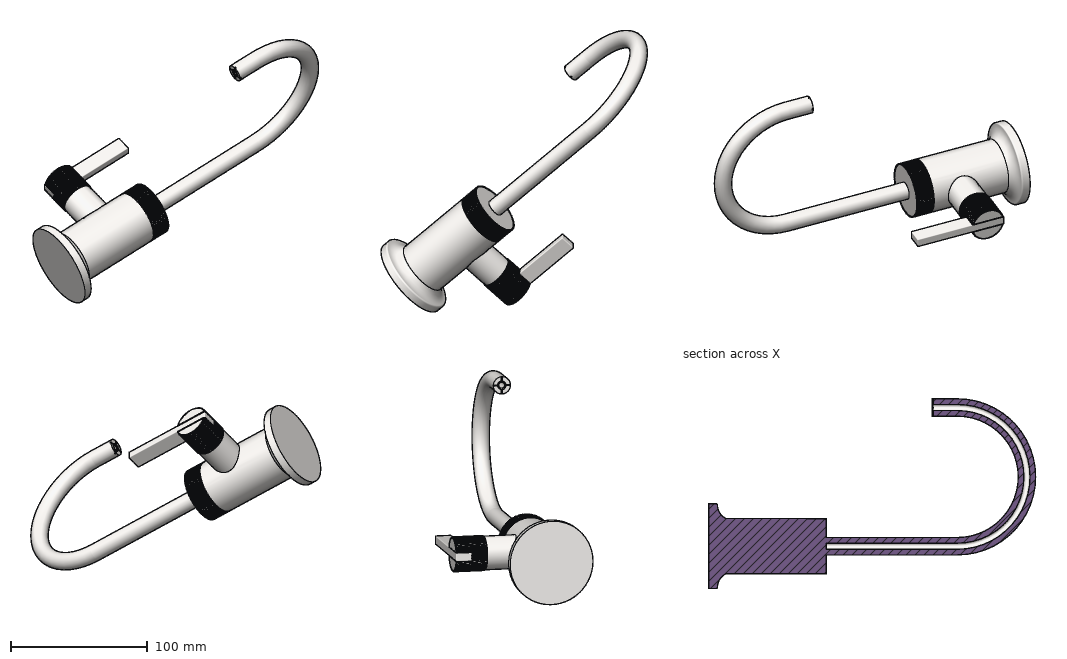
import cadquery as cq
import math

flange_radius = 31.0
flange_thickness = 6.5
flange_edge_radius = 1.2
body_radius = 20.3
body_top = 86.0
flare_start = 12.5
flare_arc_radius = 11.2

collar_length = 13.8
collar_teeth = 120
knurl_depth = 0.7

valve_y = 48.5
stub_radius = 12.5
knob_radius = 13.0
knob_length = 23.6
knob_teeth = 76
knob_chamfer = 0.7
knob_outer_x = -63.3
lever_width = 12.0
lever_thickness = 6.5
lever_bottom = valve_y - knob_radius
lever_top = 104.8
lever_edge_radius = 0.7

tube_radius = 6.5
overall_length = 238.8
bend_radius = 50.5
tip_y = 162.8
bend_y = overall_length - tube_radius - bend_radius
tip_z = 2 * bend_radius

bore_radius = 2.1
counterbore_radius = 3.0
slot_width = 0.7
outlet_recess = 1.0


def knurled_outline(workplane, radius, teeth):
    """Closed ring of V-shaped teeth with their tips on the given radius."""
    points = []
    for index in range(2 * teeth):
        angle = math.pi * index / teeth
        reach = radius - knurl_depth * (index % 2)
        points.append((reach * math.cos(angle), reach * math.sin(angle)))
    return workplane.polyline(points).close()


def base_and_body():
    collar_bottom = body_top - collar_length
    flange_shoulder = flange_radius - flange_edge_radius
    profile = (
        cq.Workplane("XY")
        .lineTo(flange_radius, 0)
        .lineTo(flange_radius, flange_thickness - flange_edge_radius)
        .radiusArc((flange_shoulder, flange_thickness), -flange_edge_radius)
        .radiusArc((body_radius, flare_start), flare_arc_radius)
        .lineTo(body_radius, collar_bottom)
        .lineTo(0, collar_bottom)
        .close()
    )
    body = profile.revolve(360, (0, 0, 0), (0, 1, 0))
    collar_plane = cq.Workplane("XZ", origin=(0, collar_bottom, 0))
    collar = knurled_outline(collar_plane, body_radius, collar_teeth).extrude(-collar_length)
    return body.union(collar)


def side_valve():
    knob_plane = cq.Workplane("YZ", origin=(knob_outer_x, valve_y, 0))
    blank = knob_plane.circle(knob_radius).extrude(knob_length).edges().chamfer(knob_chamfer)
    knob = knurled_outline(knob_plane, knob_radius, knob_teeth).extrude(knob_length).intersect(blank)
    stub_plane = knob_plane.workplane(offset=knob_length)
    stub = stub_plane.circle(stub_radius).extrude(-knob_outer_x - knob_length)
    groove = knob_plane.rect(2 * knob_radius, lever_thickness).extrude(lever_edge_radius)
    lever = (
        cq.Workplane("XY")
        .box(lever_width, lever_top - lever_bottom, lever_thickness, centered=(False, False, True))
        .translate((knob_outer_x, lever_bottom, 0))
        .edges()
        .fillet(lever_edge_radius)
    )
    return knob.cut(groove).union(stub).union(lever)


def sweep_along_spout(radius):
    path = (
        cq.Workplane("YZ")
        .moveTo(body_top, 0)
        .lineTo(bend_y, 0)
        .threePointArc((bend_y + bend_radius, bend_radius), (bend_y, tip_z))
        .lineTo(tip_y, tip_z)
    )
    return cq.Workplane("XZ", origin=(0, body_top, 0)).circle(radius).sweep(path)


def spout():
    tip = cq.Workplane("XZ", origin=(0, tip_y, tip_z))
    outlet = (
        sweep_along_spout(bore_radius)
        .union(tip.circle(counterbore_radius).extrude(-outlet_recess))
        .union(tip.rect(2 * tube_radius, slot_width).extrude(-outlet_recess))
        .union(tip.rect(slot_width, 2 * tube_radius).extrude(-outlet_recess))
    )
    return sweep_along_spout(tube_radius).cut(outlet)


result = base_and_body().union(side_valve()).union(spout())